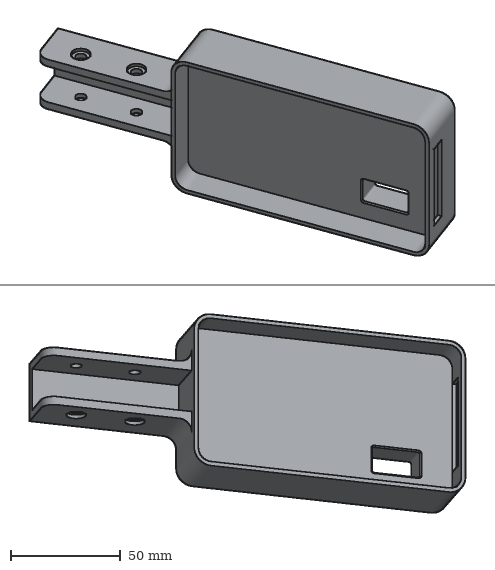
import cadquery as cq

tray_length = 129.6
tray_depth = 28.0
tray_height = 73.89
corner_radius = 8.0
tray_wall = 2.0
cavity_depth = 14.0
cavity_radius = corner_radius - tray_wall
cavity_floor_y = cavity_depth - tray_depth

window_length = 22.8
window_height = 12.3
window_to_end = 17.3
window_to_bottom = 11.3
window_radius = 1.0
window_chamfer = 0.7
window_chamfer_angle = 45

slot_to_floor = 0.25
slot_width = 8.25
slot_height = 43.0

handle_length = 70.0
handle_depth = 24.0
handle_height = 28.0
handle_wall = 4.0
tip_radius = 6.0
root_radius = 6.0

screw_diameter = 5.2
counterbore_diameter = 9.0
upper_counterbore_depth = 1.5
lower_counterbore_depth = 1.75
screw_to_back = 14.0
screws_to_tip = (18.0, 46.0)


def block(x_range, y_range, z_range):
    """Axis-aligned box given by its limits along X, Y and Z."""
    size = [high - low for low, high in (x_range, y_range, z_range)]
    corner = cq.Vector(x_range[0], y_range[0], z_range[0])
    return cq.Workplane("XY").box(*size, centered=False).translate(corner)


def make_tray():
    """Rounded block with the open cavity taken out of its -Y side."""
    half_height = tray_height / 2
    body = block((0, tray_length), (-tray_depth, 0), (-half_height, half_height))
    body = body.edges("|Y").fillet(corner_radius)
    cavity_half = half_height - tray_wall
    cavity = block(
        (tray_wall, tray_length - tray_wall),
        (-tray_depth, cavity_floor_y),
        (-cavity_half, cavity_half),
    )
    return body.cut(cavity.edges("|Y").fillet(cavity_radius))


def make_window():
    """Rounded window with a chamfered mouth on the cavity floor."""
    right = tray_length - window_to_end
    bottom = window_to_bottom - tray_height / 2
    opening = block(
        (right - window_length, right),
        (cavity_floor_y, 0),
        (bottom, bottom + window_height),
    )
    opening = opening.edges("|Y").fillet(window_radius)
    mouth_center = (right - window_length / 2, cavity_floor_y, bottom + window_height / 2)
    mouth = (
        cq.Workplane("XZ", origin=mouth_center)
        .sketch()
        .rect(window_length + 2 * window_chamfer, window_height + 2 * window_chamfer)
        .vertices()
        .fillet(window_radius + window_chamfer)
        .finalize()
        .extrude(-window_chamfer, taper=window_chamfer_angle)
    )
    return opening.union(mouth)


def make_slot():
    """Rectangular opening through the +X end wall, centred on Z = 0."""
    slot_back_y = cavity_floor_y - slot_to_floor
    return block(
        (tray_length - tray_wall, tray_length),
        (slot_back_y - slot_width, slot_back_y),
        (-slot_height / 2, slot_height / 2),
    )


def make_handle():
    """Beam with rounded free corners and a channel along its -Y side."""
    half_height = handle_height / 2
    beam = block((-handle_length, 0), (-handle_depth, 0), (-half_height, half_height))
    beam = beam.edges("|Z and <X and <Y").fillet(tip_radius)
    channel_half = half_height - handle_wall
    channel = block((-handle_length, 0), (-handle_depth, -handle_wall), (-channel_half, channel_half))
    return beam.cut(channel)


def make_root_fillet():
    """Concave web on the +Z side of the handle where it meets the tray."""
    base_z = handle_height / 2
    return (
        cq.Workplane("XZ")
        .moveTo(-root_radius, base_z)
        .lineTo(0, base_z)
        .lineTo(0, base_z + root_radius)
        .radiusArc((-root_radius, base_z), root_radius)
        .close()
        .extrude(handle_depth)
    )


def make_screw_hole(to_tip):
    """Shank through both handle walls with a counterbore at each end."""
    half_height = handle_height / 2
    middle = cq.Workplane("XY", origin=(to_tip - handle_length, -screw_to_back, 0))
    shank = middle.circle(screw_diameter / 2).extrude(half_height, both=True)
    upper_face = middle.workplane(offset=half_height)
    upper_recess = upper_face.circle(counterbore_diameter / 2).extrude(-upper_counterbore_depth)
    lower_face = middle.workplane(offset=-half_height)
    lower_recess = lower_face.circle(counterbore_diameter / 2).extrude(lower_counterbore_depth)
    return shank.union(upper_recess).union(lower_recess)


result = make_tray().cut(make_window()).cut(make_slot())
upper_root = make_root_fillet()
result = result.union(make_handle()).union(upper_root).union(upper_root.mirror("XY"))
for to_tip in screws_to_tip:
    result = result.cut(make_screw_hole(to_tip))